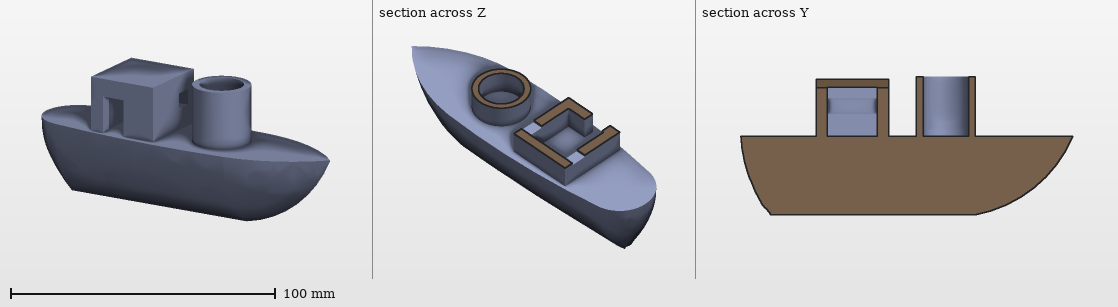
import cadquery as cq

ship_length = 125.69
beam = 36.14
total_height = 52.32

deck_z = 29.9
keel_start_x = 11.1
keel_end_x = 88.6
widest_x = 66.0
stern_half_width = 13.6
bow_half_width = 17.4

bow_curve_x = 107.5
bow_curve_half_width = 12.7
stem_curve_x = 110.2
stem_curve_z = 9.7
stern_curve_x = 3.1
stern_curve_z = 14.4
bilge_width_ratio = 0.72
bilge_height_ratio = 0.448

sternpost_steps = 10

funnel_x = 77.5
funnel_radius = 11.2
funnel_bore_radius = 8.5

house_start_x = 28.4
house_length = 27.7
house_width = 29.2
wall = 4.5
wall_height = 18.2
roof_thickness = 3.2
opening_top = 14.4
door_offset = 5.4
door_width = 9.1
window_sill = 8.3
window_y_min = 4.1
window_y_max = 10.5

house_end_x = house_start_x + house_length
house_side_y = house_width / 2
roof_z = deck_z + wall_height
opening_top_z = deck_z + opening_top


def arc(start, through, end):
    return cq.Edge.makeThreePointArc(cq.Vector(*start), cq.Vector(*through), cq.Vector(*end))


def mirrored(shape):
    """The same edge or face on the other side of the ship's centre plane."""
    return shape.mirror("XZ")


def box(x_min, x_max, y_min, y_max, z_min, z_max):
    size = (x_max - x_min, y_max - y_min, z_max - z_min)
    return cq.Workplane("XY").box(*size, centered=False).translate((x_min, y_min, z_min))


def make_frame(x, half_width):
    """Curved rib of the hull from the keel up to the +Y edge of the deck."""
    bilge = (x, half_width * bilge_width_ratio, deck_z * bilge_height_ratio)
    return arc((x, 0, 0), bilge, (x, half_width, deck_z))


def make_hull():
    """Solid hull: a flat deck, a rounded stern, two long sides and a pointed bow."""
    stern_tip = (0, 0, deck_z)
    bow_tip = (ship_length, 0, deck_z)
    keel_start = (keel_start_x, 0, 0)
    keel_end = (keel_end_x, 0, 0)
    stern_corner = (keel_start_x, stern_half_width, deck_z)
    opposite_stern_corner = (keel_start_x, -stern_half_width, deck_z)
    bow_corner = (keel_end_x, bow_half_width, deck_z)

    stern_frame = make_frame(keel_start_x, stern_half_width)
    bow_frame = make_frame(keel_end_x, bow_half_width)
    keel = cq.Edge.makeLine(cq.Vector(*keel_start), cq.Vector(*keel_end))
    stem = arc(keel_end, (stem_curve_x, 0, stem_curve_z), bow_tip)
    sternpost = arc(keel_start, (stern_curve_x, 0, stern_curve_z), stern_tip)

    stern_edge = arc(opposite_stern_corner, stern_tip, stern_corner)
    side_edge = arc(stern_corner, (widest_x, beam / 2, deck_z), bow_corner)
    bow_edge = arc(bow_corner, (bow_curve_x, bow_curve_half_width, deck_z), bow_tip)
    deck_outline = [stern_edge, side_edge, bow_edge, mirrored(bow_edge), mirrored(side_edge)]
    deck = cq.Face.makeFromWires(cq.Wire.assembleEdges(deck_outline))

    sternpost_points = [sternpost.positionAt(i / sternpost_steps) for i in range(1, sternpost_steps)]
    stern_outline = [stern_edge, stern_frame, mirrored(stern_frame)]
    stern = cq.Face.makeNSidedSurface(stern_outline, sternpost_points)

    middle = cq.Face.makeNSidedSurface([stern_frame, side_edge, bow_frame, keel], [])
    bow = cq.Face.makeNSidedSurface([bow_frame, bow_edge, stem], [])
    skin = [deck, stern, middle, bow, mirrored(middle), mirrored(bow)]
    return cq.Workplane(obj=cq.Solid.makeSolid(cq.Shell.makeShell(skin)))


def make_house_walls():
    """Four walls around an open room, with a window passage along the whole room."""
    outside = box(house_start_x, house_end_x, -house_side_y, house_side_y, deck_z, roof_z)
    room_end_y = house_side_y - wall
    room = box(house_start_x + wall, house_end_x - wall, -room_end_y, room_end_y, deck_z, roof_z)
    windows = box(
        house_start_x, house_end_x, window_y_min, window_y_max, deck_z + window_sill, opening_top_z
    )
    return outside.cut(room).cut(windows)


def make_doorway():
    """Opening through the -Y wall, level with the deck."""
    door_x = house_start_x + door_offset
    inner_y = wall - house_side_y
    return box(door_x, door_x + door_width, -house_side_y, inner_y, deck_z, opening_top_z)


def make_funnel():
    return (
        cq.Workplane("XY", origin=(funnel_x, 0, deck_z))
        .circle(funnel_radius)
        .circle(funnel_bore_radius)
        .extrude(total_height - deck_z)
    )


def make_ship():
    """Hull, deckhouse walls and funnel as one solid."""
    ship = make_hull().union(make_house_walls()).union(make_funnel())
    return ship.cut(make_doorway(), clean=False)


def make_roof():
    """Flat slab that closes the deckhouse."""
    roof_top_z = roof_z + roof_thickness
    return box(house_start_x, house_end_x, -house_side_y, house_side_y, roof_z, roof_top_z)


ship = make_ship()
roof = make_roof()

result = cq.Compound.makeCompound([ship.val(), roof.val()])